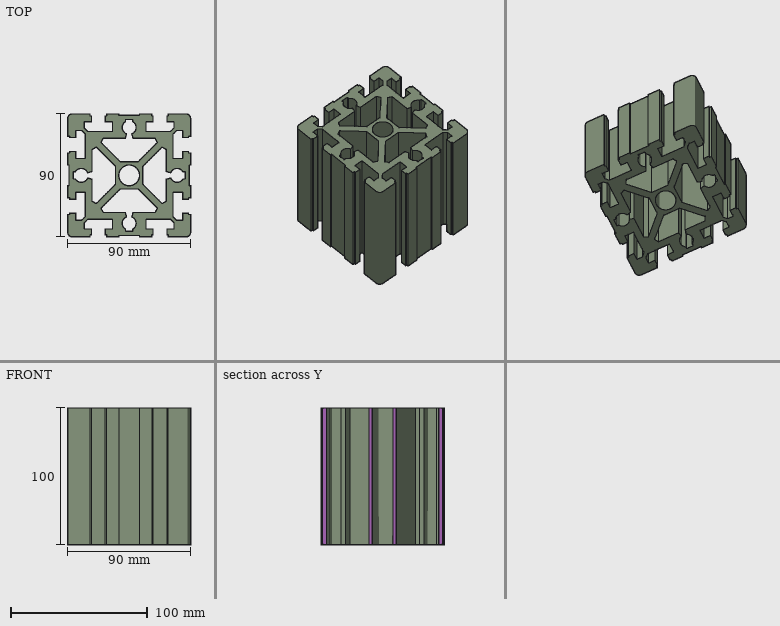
import cadquery as cq
import math

length = 100.0
side = 90.0
half_side = side / 2
corner_radius = 3.6

slot_pitch = 45.0
slot_offset = slot_pitch / 2
slot_opening = 10.0
mouth_step_width = 1.0
mouth_step_depth = 1.5
lip_thickness = 6.0
slot_inner_width = 20.3
slot_depth = 12.9
slot_chamfer = 2.5

recess_width = 15.0
recess_depth = 1.0

channel_diameter = 10.0
channel_radius = channel_diameter / 2
channel_distance = 35.0
keyway_width = 5.2
keyway_top = 40.8
neck_narrow_width = 3.6
neck_wide_width = 5.6

core_bore_diameter = 15.0
core_half_width = 10.0
chamber_outer = 27.0
chamber_outer_half_width = 18.9
chamber_shoulder = 24.0
rib_thickness = 4.9
rib_offset = rib_thickness / math.sqrt(2)


def prism(points):
    """Full-length prism over a closed outline."""
    return cq.Workplane("XY").polyline(points).close().extrude(length)


def block(x_center, width, y_low, y_high):
    """Full-length rectangular block centered at x_center."""
    return (
        cq.Workplane("XY")
        .center(x_center, (y_low + y_high) / 2)
        .rect(width, y_high - y_low)
        .extrude(length)
    )


def cylinder(y_center, diameter):
    """Full-length cylinder on the YZ plane of symmetry."""
    return cq.Workplane("XY").center(0, y_center).circle(diameter / 2).extrude(length)


def t_slot():
    """T-slot on the right half of the +Y face, chamfered toward the profile corner."""
    floor = half_side - slot_depth
    ceiling = half_side - lip_thickness
    inner = slot_offset - slot_inner_width / 2
    outer = slot_offset + slot_inner_width / 2
    cavity = prism([
        (inner, ceiling),
        (inner, floor),
        (outer - slot_chamfer, floor),
        (outer, floor + slot_chamfer),
        (outer, ceiling),
    ])
    throat = block(slot_offset, slot_opening, floor, half_side)
    mouth_width = slot_opening + 2 * mouth_step_width
    mouth = block(slot_offset, mouth_width, half_side - mouth_step_depth, half_side)
    return cavity.union(throat).union(mouth)


def screw_channel():
    """Round channel with an outward keyway and a flared neck into the chamber."""
    keyway = block(0, keyway_width, channel_distance, keyway_top)
    half_narrow = neck_narrow_width / 2
    half_wide = neck_wide_width / 2
    neck_top = channel_distance - math.sqrt(channel_radius**2 - half_narrow**2)
    neck = prism([
        (-half_wide, chamber_outer),
        (half_wide, chamber_outer),
        (half_narrow, neck_top),
        (half_narrow, channel_distance),
        (-half_narrow, channel_distance),
        (-half_narrow, neck_top),
    ])
    return cylinder(channel_distance, channel_diameter).union(keyway).union(neck)


def chamber():
    """Hollow between two diagonal ribs, the core and the +Y wall."""
    right_half = [
        (core_half_width - rib_offset, core_half_width),
        (chamber_shoulder - rib_offset, chamber_shoulder),
        (chamber_outer_half_width, chamber_outer),
    ]
    left_half = [(-x, y) for x, y in reversed(right_half)]
    return prism(right_half + left_half)


def face_cuts():
    """Everything removed from the +Y quarter of the profile."""
    slot = t_slot()
    recess = block(0, recess_width, half_side - recess_depth, half_side)
    hollow = chamber().union(screw_channel())
    return [slot, slot.mirror("YZ"), recess, hollow]


body = cq.Workplane("XY").rect(side, side).extrude(length).edges("|Z").fillet(corner_radius)
body = body.cut(cylinder(0, core_bore_diameter))
for cut in face_cuts():
    for angle in (0, 90, 180, 270):
        body = body.cut(cut.rotate((0, 0, 0), (0, 0, 1), angle))

result = body